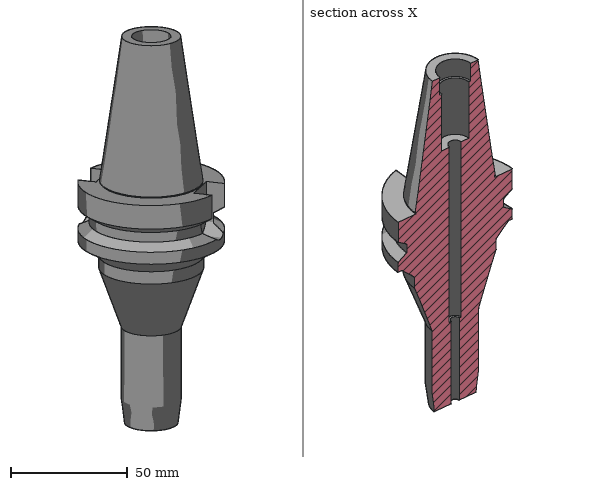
import cadquery as cq

total_height = 175.1
nose_taper_top = 11.0
shank_top = 43.6
body_cone_top = 70.4
hub_top = 76.0
lower_flange_bottom = 82.5
lower_flange_top = 87.9
groove_bottom = 90.9
groove_top = 95.3
upper_flange_bottom = 98.4
upper_flange_top = 109.0
taper_length = 65.5
taper_base = total_height - taper_length

nose_tip_radius = 11.5
shank_radius = 13.0
hub_radius = 22.6
flange_cone_radius = 29.5
flange_radius = 31.5
groove_radius = 26.8
neck_radius = 21.7
gauge_radius = 22.2
taper_ratio = 7 / 24
taper_tip_radius = gauge_radius - taper_length * taper_ratio / 2

entry_radius = 8.4
entry_depth = 9.3
thread_radius = 7.4
thread_depth = 29.8
channel_radius = 3.2
tool_bore_depth = shank_top
tool_bore_radius = 2.1

slot_width = 16.3
slot_floor_x = gauge_radius
slot_bottom = 86.7


def make_body():
    """Revolve the outer profile about Z."""
    profile = [
        (0, 0),
        (nose_tip_radius, 0),
        (shank_radius, nose_taper_top),
        (shank_radius, shank_top),
        (hub_radius, body_cone_top),
        (hub_radius, hub_top),
        (flange_cone_radius, lower_flange_bottom),
        (flange_radius, lower_flange_bottom),
        (flange_radius, lower_flange_top),
        (groove_radius, groove_bottom),
        (groove_radius, groove_top),
        (flange_radius, upper_flange_bottom),
        (flange_radius, upper_flange_top),
        (neck_radius, upper_flange_top),
        (neck_radius, taper_base),
        (gauge_radius, taper_base),
        (taper_tip_radius, total_height),
        (0, total_height),
    ]
    return cq.Workplane("XZ").polyline(profile).close().revolve(360, (0, 0, 0), (0, 1, 0))


def make_bore():
    """Revolve the stepped hole that runs through the whole part."""
    entry_floor = total_height - entry_depth
    thread_floor = entry_floor - thread_depth
    profile = [
        (0, 0),
        (tool_bore_radius, 0),
        (tool_bore_radius, tool_bore_depth),
        (channel_radius, tool_bore_depth),
        (channel_radius, thread_floor),
        (thread_radius, thread_floor),
        (thread_radius, entry_floor),
        (entry_radius, entry_floor),
        (entry_radius, total_height),
        (0, total_height),
    ]
    return cq.Workplane("XZ").polyline(profile).close().revolve(360, (0, 0, 0), (0, 1, 0))


def make_drive_slot():
    """Round-bottomed slot, open at the top and outer side, on the +X side."""
    half_width = slot_width / 2
    arc_centre = slot_bottom + half_width
    return (
        cq.Workplane("YZ", origin=(slot_floor_x, 0, 0))
        .moveTo(-half_width, upper_flange_top)
        .lineTo(-half_width, arc_centre)
        .threePointArc((0, slot_bottom), (half_width, arc_centre))
        .lineTo(half_width, upper_flange_top)
        .close()
        .extrude(flange_radius - slot_floor_x)
    )


result = make_body().cut(make_bore())
for angle in (0, 180):
    result = result.cut(make_drive_slot().rotate((0, 0, 0), (0, 0, 1), angle))